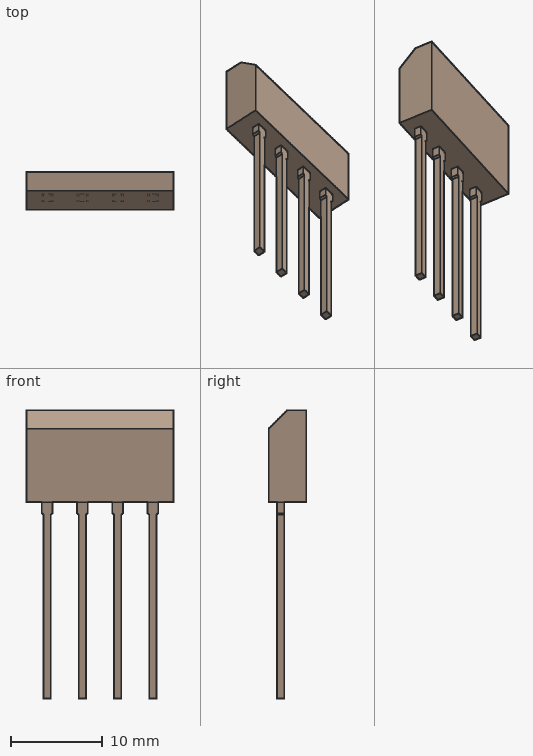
import cadquery as cq

total_height = 31.4
body_width = 16.0
body_depth = 4.1
body_height = 10.02
bevel = 2.05

lead_count = 4
lead_pitch = 3.83
lead_width = 0.82
lead_thickness = 0.82
shoulder_width = 1.2
shoulder_length = 1.2
taper_length = 0.2
lead_front_gap = 0.9

lead_length = total_height - body_height
front_y = -body_depth / 2
lead_front_y = front_y + lead_front_gap


def make_housing():
    """Rectangular block with its top front edge bevelled."""
    block = cq.Workplane("XY").box(body_width, body_depth, body_height, centered=(True, True, False))
    return block.faces(">Z").edges("<Y").chamfer(bevel)


def make_lead(center_x):
    """Flat lead with a wider shoulder under the housing."""
    half_lead = lead_width / 2
    half_shoulder = shoulder_width / 2
    taper_end_z = -shoulder_length - taper_length
    outline = [
        (-half_shoulder, 0),
        (half_shoulder, 0),
        (half_shoulder, -shoulder_length),
        (half_lead, taper_end_z),
        (half_lead, -lead_length),
        (-half_lead, -lead_length),
        (-half_lead, taper_end_z),
        (-half_shoulder, -shoulder_length),
    ]
    lead = cq.Workplane("XZ").polyline(outline).close().extrude(-lead_thickness)
    return lead.translate((center_x, lead_front_y, 0))


housing = make_housing()
first_lead_x = -lead_pitch * (lead_count - 1) / 2
leads = [make_lead(first_lead_x + i * lead_pitch) for i in range(lead_count)]

result = cq.Compound.makeCompound([housing.val(), *[lead.val() for lead in leads]])